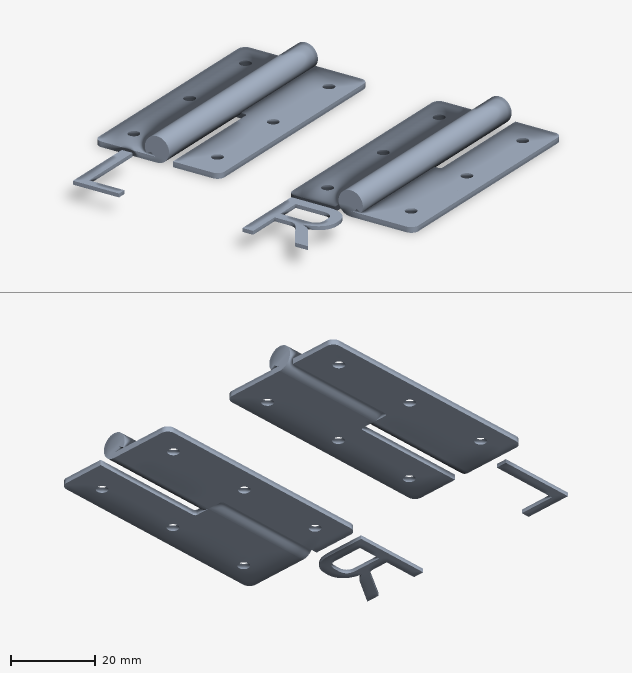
import cadquery as cq
import math

HINGE_LENGTH = 64.0
HINGE_WIDTH = 35.9
HINGE_SPACING = 55.4
BARREL_DIAMETER = 6.95
PLATE_THICKNESS = 1.5
NOTCH_EDGE = 4.5
NOTCH_FILLET = 0.7
CORNER_RADIUS = 2.0
HOLE_DIAMETER = 3.1
HOLE_OFFSET = 11.95
HOLE_PITCH = 24.0
HOLES_PER_LEAF = 3
CURL_END_ANGLE = 211.0

BARREL_RADIUS = BARREL_DIAMETER / 2
PIN_RADIUS = BARREL_RADIUS - PLATE_THICKNESS
HALF_LENGTH = HINGE_LENGTH / 2
HALF_WIDTH = HINGE_WIDTH / 2

OVERALL_LENGTH = 92.6
LETTER_HEIGHT = 21.0
LETTER_THICKNESS = 1.0
LETTER_BOTTOM = 4.0
STROKE = 3.1
LETTER_BASE_Y = HALF_LENGTH - OVERALL_LENGTH

L_LEFT = -5.0
L_WIDTH = 13.2
L_FOOT_HEIGHT = 2.3

R_LEFT = -11.95
R_WIDTH = 18.7
BOWL_START = 10.65
BOWL_RIGHT = 16.95
BOWL_MIDDLE = 15.3
COUNTER_TOP = 18.3
COUNTER_BOTTOM = 11.8
COUNTER_RIGHT = 14.0
COUNTER_STRAIGHT_END = 11.1
BAR_BOTTOM = 9.3
LEG_INNER_START = 7.4
LEG_INNER_BEND = (10.1, 7.6)
LEG_INNER_FOOT = 15.0
LEG_OUTER_START = (10.8, 9.5)
LEG_OUTER_BEND = (13.7, 7.6)
LEG_OUTER_START_DIRECTION = (-1, 0.4)
BOWL_FOOT_DIRECTION = (1, 0.15)


def barrel_point(radius, angle):
    """Point of the XZ section at an angle about the barrel axis."""
    turn = math.radians(angle)
    return (radius * math.cos(turn), BARREL_RADIUS + radius * math.sin(turn))


def make_plate():
    """Flat part of the left leaf, cut back along its rear half to clear the other barrel."""
    plate = (
        cq.Workplane("XY")
        .moveTo(-HALF_WIDTH, -HALF_LENGTH)
        .lineTo(0, -HALF_LENGTH)
        .lineTo(0, 0)
        .lineTo(-NOTCH_EDGE, 0)
        .lineTo(-NOTCH_EDGE, HALF_LENGTH)
        .lineTo(-HALF_WIDTH, HALF_LENGTH)
        .close()
        .extrude(PLATE_THICKNESS)
    )
    plate = plate.edges("|Z and <X").fillet(CORNER_RADIUS)
    notch_corner = cq.selectors.NearestToPointSelector((-NOTCH_EDGE, 0, PLATE_THICKNESS / 2))
    plate = plate.edges("|Z").edges(notch_corner).fillet(NOTCH_FILLET)
    holes = (
        cq.Workplane("XY")
        .center(-HOLE_OFFSET, 0)
        .rarray(0.9, HOLE_PITCH, 1, HOLES_PER_LEAF)
        .circle(HOLE_DIAMETER / 2)
        .extrude(PLATE_THICKNESS)
    )
    return plate.cut(holes)


def make_curl():
    """Strip rolled up from the plate and round the pin, over the front half of the hinge."""
    half_turn = (CURL_END_ANGLE - 90) / 2
    return (
        cq.Workplane("XZ")
        .moveTo(0, 0)
        .threePointArc(barrel_point(BARREL_RADIUS, half_turn), barrel_point(BARREL_RADIUS, CURL_END_ANGLE))
        .lineTo(*barrel_point(PIN_RADIUS, CURL_END_ANGLE))
        .threePointArc(barrel_point(PIN_RADIUS, half_turn), (0, PLATE_THICKNESS))
        .close()
        .extrude(HALF_LENGTH)
    )


def make_hinge():
    """Left-hand hinge: two equal leaves, half a turn apart, joined by the pin into one solid."""
    leaf = make_plate().union(make_curl())
    other_leaf = leaf.rotate((0, 0, 0), (0, 0, 1), 180)
    pin = (
        cq.Workplane("XZ", origin=(0, HALF_LENGTH, 0))
        .center(0, BARREL_RADIUS)
        .circle(PIN_RADIUS)
        .extrude(HINGE_LENGTH)
    )
    return leaf.union(other_leaf, clean=False).union(pin, clean=False)


def letter_plane(left):
    """Workplane at the lower left corner of a letter."""
    return cq.Workplane("XY", origin=(left, LETTER_BASE_Y, LETTER_BOTTOM))


def make_letter_l():
    return (
        letter_plane(L_LEFT)
        .lineTo(L_WIDTH, 0)
        .lineTo(L_WIDTH, L_FOOT_HEIGHT)
        .lineTo(STROKE, L_FOOT_HEIGHT)
        .lineTo(STROKE, LETTER_HEIGHT)
        .lineTo(0, LETTER_HEIGHT)
        .close()
        .extrude(LETTER_THICKNESS)
    )


def make_letter_r():
    plane = letter_plane(HINGE_SPACING + R_LEFT)
    outline = (
        plane
        .lineTo(STROKE, 0)
        .lineTo(STROKE, BAR_BOTTOM)
        .lineTo(LEG_INNER_START, BAR_BOTTOM)
        .spline(
            [LEG_INNER_BEND],
            tangents=[(1, 0), (LEG_INNER_FOOT - LEG_INNER_BEND[0], -LEG_INNER_BEND[1])],
            includeCurrent=True,
        )
        .lineTo(LEG_INNER_FOOT, 0)
        .lineTo(R_WIDTH, 0)
        .lineTo(*LEG_OUTER_BEND)
        .spline(
            [LEG_OUTER_START],
            tangents=[(LEG_OUTER_BEND[0] - R_WIDTH, LEG_OUTER_BEND[1]), LEG_OUTER_START_DIRECTION],
            includeCurrent=True,
        )
        .spline(
            [(BOWL_RIGHT, BOWL_MIDDLE), (BOWL_START, LETTER_HEIGHT)],
            tangents=[BOWL_FOOT_DIRECTION, (0, 1), (-1, 0)],
            includeCurrent=True,
        )
        .lineTo(0, LETTER_HEIGHT)
        .close()
        .extrude(LETTER_THICKNESS)
    )
    counter = (
        plane
        .moveTo(STROKE, COUNTER_BOTTOM)
        .lineTo(COUNTER_STRAIGHT_END, COUNTER_BOTTOM)
        .spline(
            [(COUNTER_RIGHT, (COUNTER_BOTTOM + COUNTER_TOP) / 2), (COUNTER_STRAIGHT_END, COUNTER_TOP)],
            tangents=[(1, 0), (0, 1), (-1, 0)],
            includeCurrent=True,
        )
        .lineTo(STROKE, COUNTER_TOP)
        .close()
        .extrude(LETTER_THICKNESS)
    )
    return outline.cut(counter)


left_hinge = make_hinge()
right_hinge = left_hinge.mirror("YZ").translate((HINGE_SPACING, 0, 0))
letter_l = make_letter_l()
letter_r = make_letter_r()

result = cq.Compound.makeCompound(
    [*left_hinge.solids().vals(), *right_hinge.solids().vals(), letter_l.val(), letter_r.val()]
)